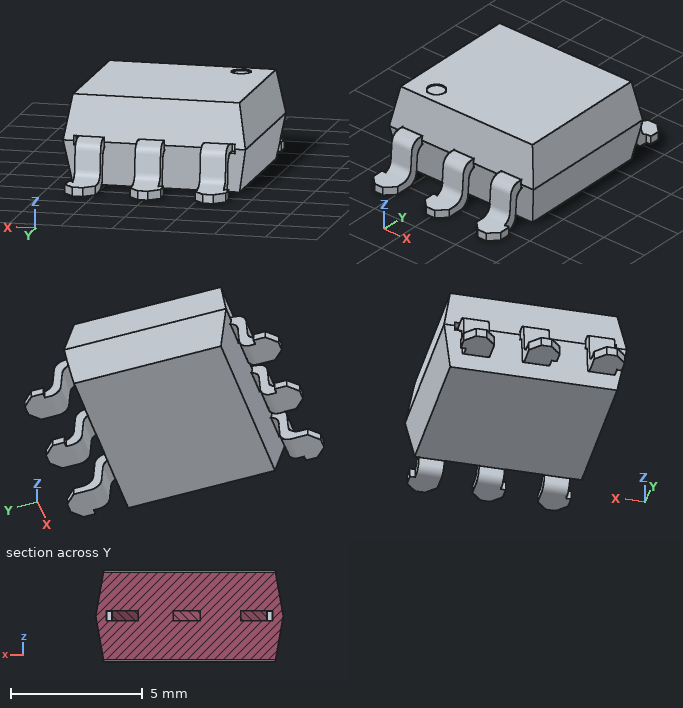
import cadquery as cq
import math

HOUSING_X = 7.14
HOUSING_Y = 6.5
HEIGHT = 3.5
PARTING_Z = HEIGHT / 2
DRAFT_ANGLE = 10.0

MARK_DIAMETER = 0.75
MARK_DEPTH = 0.05
MARK_X = -2.06
MARK_Y = -2.25

LEAD_SPAN = 10.16
TIP_Y = LEAD_SPAN / 2
LEAD_PITCH = 2.55
LEAD_THICKNESS = 0.36
LEAD_TOP_Z = 1.93
LEG_ANGLE = 4.0
LEG_TOP_Y = 3.82
BEND_RADIUS = 0.45
ROOT_Y = 2.84

FOOT_WIDTH = 1.2
FOOT_LENGTH = 0.87
FOOT_CHAMFER = 0.4
NECK_WIDTH = 1.0


def make_housing_half(direction):
    """Half of the housing, tapering away from the parting plane (direction +1 up, -1 down)."""
    return (
        cq.Workplane("XY", origin=(0, 0, PARTING_Z))
        .rect(HOUSING_X, HOUSING_Y)
        .extrude(direction * PARTING_Z, taper=DRAFT_ANGLE)
    )


def make_rear_slot(side):
    """Foot-wide slot around the root of an outer +Y lead, leaving a gap beside its neck."""
    depth = HOUSING_Y / 2 - ROOT_Y
    centre = (side * LEAD_PITCH, ROOT_Y + depth / 2, LEAD_TOP_Z - LEAD_THICKNESS / 2)
    return cq.Workplane("XY").box(FOOT_WIDTH, depth, LEAD_THICKNESS).translate(centre)


def make_housing(leads):
    """Housing with the pin-one mark, a matching socket for every lead and two rear slots."""
    housing = make_housing_half(1).union(make_housing_half(-1))
    mark = (
        cq.Workplane("XY", origin=(MARK_X, MARK_Y, HEIGHT - MARK_DEPTH))
        .circle(MARK_DIAMETER / 2)
        .extrude(MARK_DEPTH)
    )
    housing = housing.cut(mark)
    for lead in leads:
        housing = housing.cut(lead)
    for side in (-1, 1):
        housing = housing.cut(make_rear_slot(side))
    return housing


def make_bent_strip():
    """Lead strip of full foot width on the +Y side, centred on X = 0."""
    lean = math.tan(math.radians(LEG_ANGLE))
    leg_run = LEAD_THICKNESS / math.cos(math.radians(LEG_ANGLE))

    def leg_outer_y(z):
        return LEG_TOP_Y + (LEAD_TOP_Z - z) * lean

    arm_bottom_z = LEAD_TOP_Z - LEAD_THICKNESS
    outline = [
        (ROOT_Y, LEAD_TOP_Z),
        (LEG_TOP_Y, LEAD_TOP_Z),
        (leg_outer_y(LEAD_THICKNESS), LEAD_THICKNESS),
        (TIP_Y, LEAD_THICKNESS),
        (TIP_Y, 0),
        (leg_outer_y(0) - leg_run, 0),
        (leg_outer_y(arm_bottom_z) - leg_run, arm_bottom_z),
        (ROOT_Y, arm_bottom_z),
    ]
    strip = cq.Workplane("YZ").polyline(outline).close().extrude(FOOT_WIDTH / 2, both=True)

    between_ends = cq.selectors.BoxSelector(
        (-FOOT_WIDTH, ROOT_Y + LEAD_THICKNESS, -HEIGHT),
        (FOOT_WIDTH, TIP_Y - LEAD_THICKNESS, HEIGHT),
    )
    return strip.edges("|X").edges(between_ends).fillet(BEND_RADIUS)


def make_lead():
    """Lead on the +Y side with its wide shoulder toward -X."""
    half_foot = FOOT_WIDTH / 2
    shoulder_y = TIP_Y - FOOT_LENGTH
    neck_x = half_foot - NECK_WIDTH
    plan = [
        (neck_x, ROOT_Y),
        (neck_x, shoulder_y),
        (-half_foot, shoulder_y),
        (-half_foot, TIP_Y - FOOT_CHAMFER),
        (-half_foot + FOOT_CHAMFER, TIP_Y),
        (half_foot - FOOT_CHAMFER, TIP_Y),
        (half_foot, TIP_Y - FOOT_CHAMFER),
        (half_foot, ROOT_Y),
    ]
    plan_prism = cq.Workplane("XY").polyline(plan).close().extrude(HEIGHT)
    return make_bent_strip().intersect(plan_prism)


def make_leads():
    """Two mirrored rows of three leads; the shoulder of the +X leads faces outward."""
    lead_facing_left = make_lead()
    lead_facing_right = lead_facing_left.mirror("YZ")
    columns = ((-1, lead_facing_left), (0, lead_facing_left), (1, lead_facing_right))
    leads = []
    for column, lead in columns:
        placed = lead.translate((column * LEAD_PITCH, 0, 0))
        leads.append(placed)
        leads.append(placed.mirror("XZ"))
    return leads


leads = make_leads()
housing = make_housing(leads)

result = cq.Compound.makeCompound([housing.val(), *[lead.val() for lead in leads]])